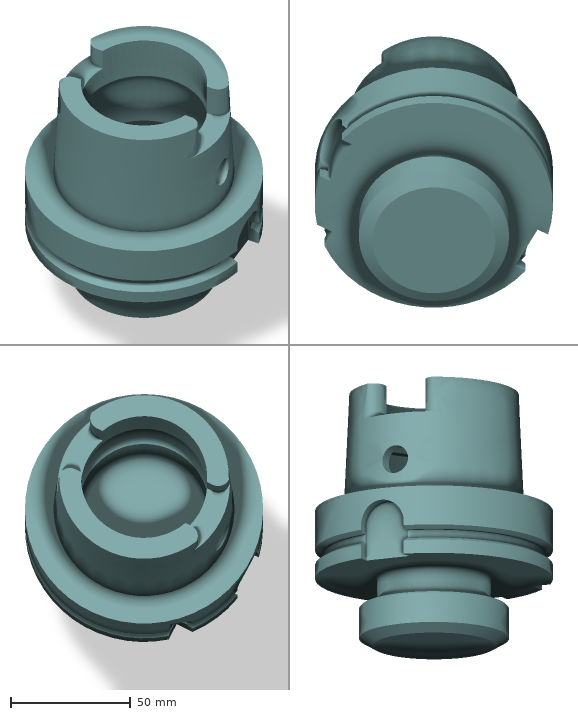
import cadquery as cq
import math

TAN_30 = math.tan(math.radians(30))

SHANK_HEIGHT = 50.0
SHANK_BASE_RADIUS = 38.0
SHANK_TOP_RADIUS = 35.63

FLANGE_RADIUS = 50.0
FLANGE_HEIGHT = 29.0
GROOVE_CENTRE_Z = -20.0
GROOVE_FLOOR_RADIUS = 46.0
GROOVE_FLOOR_HALF_WIDTH = 3.75 / 2
GROOVE_MOUTH_HALF_WIDTH = 3.25
GROOVE_FLANK_DEPTH = (GROOVE_MOUTH_HALF_WIDTH - GROOVE_FLOOR_HALF_WIDTH) / TAN_30

NECK_RADIUS = 24.0
NECK_FILLET = 1.0
COLLAR_RADIUS = 63.09 / 2
COLLAR_TOP_Z = -41.2
COLLAR_BOTTOM_Z = -57.9
COLLAR_TOP_CHAMFER = 0.8
COLLAR_BOTTOM_CHAMFER_HEIGHT = 3.3
COLLAR_BOTTOM_CHAMFER_WIDTH = COLLAR_BOTTOM_CHAMFER_HEIGHT / TAN_30

BORE_RADIUS = 53.06 / 2
BORE_LIP_Z = 30.0
UNDERCUT_RADIUS = 62.7 / 2
UNDERCUT_WALL_BOTTOM_Z = 10.1
UNDERCUT_FILLET = 6.5
WELL_FLOOR_RADIUS = 24.95
WELL_FILLET = 2.2
WELL_RADIUS = WELL_FLOOR_RADIUS + WELL_FILLET
WELL_FLOOR_Z = -12.8

CROSS_HOLE_DIAMETER = 12.0
CROSS_HOLE_Z = 15.0

DRIVE_SLOT_WIDTH = 20.0
LUG_END_X = 32.3
LUG_CORNER_RADIUS = 5.0
LUG_FLAT_LENGTH = 5.0
LEFT_SLOT_DEPTH = 10.0
RIGHT_SLOT_DEPTH = 15.0

NOTCH_WIDTH = 20.0
NOTCH_TOP_Z = -5.0
KEYWAY_FLOOR_X = 44.0
SIDE_NOTCH_FLOOR_X = 31.3
SIDE_NOTCH_Y = 41.5


def make_body():
    """Solid of revolution: shank, grooved flange, neck and collar."""
    flank_radius = FLANGE_RADIUS - GROOVE_FLANK_DEPTH
    neck_fillet_mid = NECK_FILLET * (1 - math.sqrt(0.5))
    profile = (
        cq.Workplane("XZ")
        .moveTo(0, SHANK_HEIGHT)
        .lineTo(SHANK_TOP_RADIUS, SHANK_HEIGHT)
        .lineTo(SHANK_BASE_RADIUS, 0)
        .lineTo(FLANGE_RADIUS, 0)
        .lineTo(FLANGE_RADIUS, GROOVE_CENTRE_Z + GROOVE_MOUTH_HALF_WIDTH)
        .lineTo(flank_radius, GROOVE_CENTRE_Z + GROOVE_FLOOR_HALF_WIDTH)
        .lineTo(GROOVE_FLOOR_RADIUS, GROOVE_CENTRE_Z + GROOVE_FLOOR_HALF_WIDTH)
        .lineTo(GROOVE_FLOOR_RADIUS, GROOVE_CENTRE_Z - GROOVE_FLOOR_HALF_WIDTH)
        .lineTo(flank_radius, GROOVE_CENTRE_Z - GROOVE_FLOOR_HALF_WIDTH)
        .lineTo(FLANGE_RADIUS, GROOVE_CENTRE_Z - GROOVE_MOUTH_HALF_WIDTH)
        .lineTo(FLANGE_RADIUS, -FLANGE_HEIGHT)
        .lineTo(NECK_RADIUS + NECK_FILLET, -FLANGE_HEIGHT)
        .threePointArc(
            (NECK_RADIUS + neck_fillet_mid, -FLANGE_HEIGHT - neck_fillet_mid),
            (NECK_RADIUS, -FLANGE_HEIGHT - NECK_FILLET),
        )
        .lineTo(NECK_RADIUS, COLLAR_TOP_Z)
        .lineTo(COLLAR_RADIUS - COLLAR_TOP_CHAMFER, COLLAR_TOP_Z)
        .lineTo(COLLAR_RADIUS, COLLAR_TOP_Z - COLLAR_TOP_CHAMFER)
        .lineTo(COLLAR_RADIUS, COLLAR_BOTTOM_Z + COLLAR_BOTTOM_CHAMFER_HEIGHT)
        .lineTo(COLLAR_RADIUS - COLLAR_BOTTOM_CHAMFER_WIDTH, COLLAR_BOTTOM_Z)
        .lineTo(0, COLLAR_BOTTOM_Z)
        .close()
    )
    return profile.revolve(360, (0, 0), (0, 1))


def make_bore():
    """Blind bore: cylindrical mouth, wider undercut, and a well with a filleted floor.

    The undercut's wall curves inward at its bottom until it meets the well's wall.
    """
    undercut_arc_radius = UNDERCUT_RADIUS - UNDERCUT_FILLET
    meeting_angle = math.acos((WELL_RADIUS - undercut_arc_radius) / UNDERCUT_FILLET)

    def undercut_arc_point(angle):
        return (
            undercut_arc_radius + UNDERCUT_FILLET * math.cos(angle),
            UNDERCUT_WALL_BOTTOM_Z - UNDERCUT_FILLET * math.sin(angle),
        )

    well_fillet_mid = WELL_FILLET * math.sqrt(0.5)
    well_fillet_z = WELL_FLOOR_Z + WELL_FILLET
    profile = (
        cq.Workplane("XZ")
        .moveTo(0, SHANK_HEIGHT)
        .lineTo(BORE_RADIUS, SHANK_HEIGHT)
        .lineTo(BORE_RADIUS, BORE_LIP_Z)
        .lineTo(UNDERCUT_RADIUS, BORE_LIP_Z)
        .lineTo(UNDERCUT_RADIUS, UNDERCUT_WALL_BOTTOM_Z)
        .threePointArc(undercut_arc_point(meeting_angle / 2), undercut_arc_point(meeting_angle))
        .lineTo(WELL_RADIUS, well_fillet_z)
        .threePointArc(
            (WELL_FLOOR_RADIUS + well_fillet_mid, well_fillet_z - well_fillet_mid),
            (WELL_FLOOR_RADIUS, WELL_FLOOR_Z),
        )
        .lineTo(0, WELL_FLOOR_Z)
        .close()
    )
    return profile.revolve(360, (0, 0), (0, 1))


def make_cross_hole():
    """Cylinder along X, through both walls of the shank."""
    return (
        cq.Workplane("YZ")
        .center(0, CROSS_HOLE_Z)
        .circle(CROSS_HOLE_DIAMETER / 2)
        .extrude(SHANK_BASE_RADIUS, both=True)
    )


def make_drive_slot(side, depth):
    """Slot open at the top on the +X (side = 1) or -X (side = -1) of the shank.

    Each lug beside it has a rounded corner that runs into a short flat, square to the
    line from the shank's axis through the corner's centre.
    """
    half_width = DRIVE_SLOT_WIDTH / 2
    corner_x = LUG_END_X - LUG_CORNER_RADIUS
    corner_y = half_width + LUG_CORNER_RADIUS
    corner_angle = math.atan2(corner_y, corner_x)
    tangent_x = corner_x + LUG_CORNER_RADIUS * math.cos(corner_angle)
    tangent_y = corner_y + LUG_CORNER_RADIUS * math.sin(corner_angle)
    flat_end_x = tangent_x - LUG_FLAT_LENGTH * math.sin(corner_angle)
    flat_end_y = tangent_y + LUG_FLAT_LENGTH * math.cos(corner_angle)
    outer_x = side * SHANK_BASE_RADIUS
    return (
        cq.Workplane("XY", origin=(0, 0, SHANK_HEIGHT - depth))
        .moveTo(0, -half_width)
        .lineTo(side * corner_x, -half_width)
        .threePointArc((side * LUG_END_X, -corner_y), (side * tangent_x, -tangent_y))
        .lineTo(side * flat_end_x, -flat_end_y)
        .lineTo(outer_x, -flat_end_y)
        .lineTo(outer_x, flat_end_y)
        .lineTo(side * flat_end_x, flat_end_y)
        .lineTo(side * tangent_x, tangent_y)
        .threePointArc((side * LUG_END_X, corner_y), (side * corner_x, half_width))
        .lineTo(0, half_width)
        .close()
        .extrude(depth)
    )


def make_flange_notch(side, floor_x, centre_y):
    """Round-topped notch with a flat floor facing -X or +X, open at the flange's bottom."""
    radius = NOTCH_WIDTH / 2
    arc_centre_z = NOTCH_TOP_Z - radius
    return (
        cq.Workplane("YZ", origin=(side * floor_x, centre_y, 0))
        .moveTo(-radius, -FLANGE_HEIGHT)
        .lineTo(-radius, arc_centre_z)
        .threePointArc((0, NOTCH_TOP_Z), (radius, arc_centre_z))
        .lineTo(radius, -FLANGE_HEIGHT)
        .close()
        .extrude(side * (FLANGE_RADIUS - floor_x))
    )


result = (
    make_body()
    .cut(make_bore())
    .cut(make_cross_hole())
    .cut(make_drive_slot(-1, LEFT_SLOT_DEPTH))
    .cut(make_drive_slot(1, RIGHT_SLOT_DEPTH))
    .cut(make_flange_notch(-1, KEYWAY_FLOOR_X, 0))
    .cut(make_flange_notch(1, KEYWAY_FLOOR_X, 0))
    .cut(make_flange_notch(-1, SIDE_NOTCH_FLOOR_X, SIDE_NOTCH_Y))
)